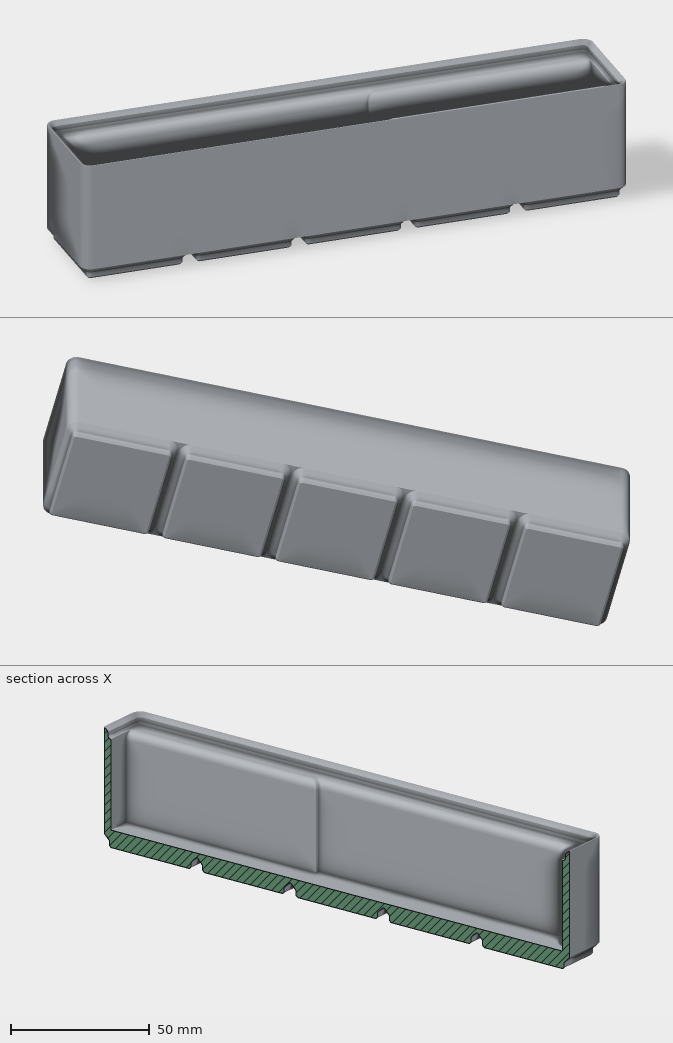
import cadquery as cq
import math

width = 41.5
length = 209.5
height = 46.0
corner_radius = 3.8

foot_count = 5
foot_pitch = (length - width) / (foot_count - 1)
foot_toe_chamfer = 0.8
foot_straight = 1.8
foot_flare = 2.3
foot_height = foot_toe_chamfer + foot_straight + foot_flare

lip_bottom_chamfer = 0.7
lip_straight = 1.8
lip_top_chamfer = 1.57
lip_rim = 0.31
lip_height = lip_bottom_chamfer + lip_straight + lip_top_chamfer
lip_thickness = lip_bottom_chamfer + lip_top_chamfer + lip_rim
shelf_z = height - lip_height

floor_z = 7.0
pocket_end_wall = 3.4
wide_width = 22.2
narrow_width = 18.5
step_y = 16.1
edge_radius = 3.1
pocket_end_y = length / 2 - pocket_end_wall
round_start_z = shelf_z - edge_radius
arc_mid = edge_radius * (1 - math.sqrt(0.5))


def rounded_block(size_x, size_y, radius, z, tall, flare=0.0):
    """Rounded rectangle at height z, extruded up while each side moves out by flare."""
    outline = cq.Sketch().rect(size_x, size_y).vertices().fillet(radius)
    taper = -math.degrees(math.atan2(flare, tall))
    return cq.Workplane("XY").workplane(offset=z).placeSketch(outline).extrude(tall, taper=taper)


def inset_block(inset, z, tall, flare=0.0, block_length=length):
    """Rounded block whose sides start a given inset inside the body outline."""
    return rounded_block(
        width - 2 * inset, block_length - 2 * inset, corner_radius - inset, z, tall, flare
    )


def make_foot():
    toe_inset = foot_flare + foot_toe_chamfer
    straight_top = foot_toe_chamfer + foot_straight
    toe = inset_block(toe_inset, 0, foot_toe_chamfer, foot_toe_chamfer, width)
    straight = inset_block(foot_flare, foot_toe_chamfer, foot_straight, 0, width)
    flare = inset_block(foot_flare, straight_top, foot_flare, foot_flare, width)
    return toe.union(straight).union(flare)


def make_lip_opening():
    straight_inset = lip_thickness - lip_bottom_chamfer
    straight_z = shelf_z + lip_bottom_chamfer
    top_z = straight_z + lip_straight
    bottom = inset_block(lip_thickness, shelf_z, lip_bottom_chamfer, lip_bottom_chamfer)
    straight = inset_block(straight_inset, straight_z, lip_straight)
    top = inset_block(straight_inset, top_z, lip_top_chamfer, lip_top_chamfer)
    return bottom.union(straight).union(top)


def make_pocket():
    wide_x = wide_width / 2
    narrow_x = narrow_width / 2
    outline = [
        (-wide_x, -pocket_end_y),
        (wide_x, -pocket_end_y),
        (wide_x, step_y),
        (narrow_x, step_y),
        (narrow_x, pocket_end_y),
        (-narrow_x, pocket_end_y),
        (-narrow_x, step_y),
        (-wide_x, step_y),
    ]
    pocket = cq.Workplane("XY").workplane(offset=floor_z).polyline(outline).close()
    return pocket.extrude(shelf_z - floor_z)


def flared_channel(channel_width, y_start, y_end):
    """Channel at the shelf whose side walls round over outward to the shelf."""
    half = channel_width / 2
    profile = (
        cq.Workplane("XZ", origin=(0, y_start, 0))
        .moveTo(-half, round_start_z)
        .lineTo(half, round_start_z)
        .threePointArc((half + arc_mid, shelf_z - arc_mid), (half + edge_radius, shelf_z))
        .lineTo(-half - edge_radius, shelf_z)
        .threePointArc((-half - arc_mid, shelf_z - arc_mid), (-half, round_start_z))
        .close()
    )
    return profile.extrude(y_start - y_end)


def flared_step():
    """Wide channel's end at the step, rounded over along Y and mitred at its corners."""
    reach = wide_width / 2 + edge_radius
    across = (
        cq.Workplane("YZ", origin=(-reach, 0, 0))
        .moveTo(0, round_start_z)
        .lineTo(step_y, round_start_z)
        .threePointArc((step_y + arc_mid, shelf_z - arc_mid), (step_y + edge_radius, shelf_z))
        .lineTo(0, shelf_z)
        .close()
        .extrude(2 * reach)
    )
    return across.intersect(flared_channel(wide_width, 0, step_y + edge_radius))


body = inset_block(0, foot_height, height - foot_height)
foot = make_foot()
for index in range(foot_count):
    foot_y = (index - (foot_count - 1) / 2) * foot_pitch
    body = body.union(foot.translate((0, foot_y, 0)))

result = (
    body.cut(make_lip_opening())
    .cut(make_pocket())
    .cut(flared_channel(wide_width, -pocket_end_y, 0))
    .cut(flared_step())
    .cut(flared_channel(narrow_width, 0, pocket_end_y))
)